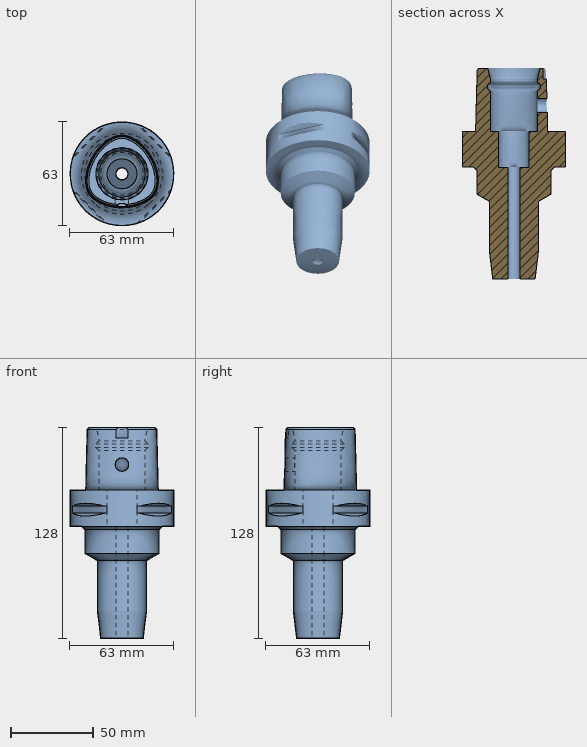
import cadquery as cq
import math

total_height = 128.0
flange_top = 90.0
flange_height = 22.0
flange_bottom = flange_top - flange_height
collar_chamfer = 2.0
collar_bottom = 51.6
nose_taper_height = 16.5

flange_diameter = 63.0
collar_diameter = 45.0
shank_diameter = 30.0
nose_diameter = 26.0
neck_cone_angle = 60.0

taper_diameter = 44.2
taper_ratio = 20.0
eccentricity = 1.4
taper_chamfer_height = 1.3
taper_chamfer_width = 1.0
profile_points = 36

bore_mouth_diameter = 31.5
bore_diameter = 28.0
bore_cone_depth = 6.7
bore_depth = total_height - flange_top
recess_diameter = 18.2
recess_depth = total_height - flange_bottom
through_diameter = 7.2
ring_groove_top = 8.2
ring_groove_height = 5.8
ring_groove_depth = 1.9

slot_width = 7.3
slot_back_offset = 17.9
slot_corner_offset = 19.6
slot_depth = 6.3
side_hole_diameter = 8.2
side_hole_drop = 22.5
side_hole_bottom = 14.3

gripper_count = 4
gripper_spacing = 360 / gripper_count
gripper_drop = 11.9
gripper_floor_offset = 27.8
gripper_floor_height = 4.2
gripper_mouth_height = 7.8
gripper_ledge = 0.6


def revolve_profile(points):
    """Turn a (radius, height) outline about Z, starting on the -Y side."""
    outline = [(-radius, height) for radius, height in points]
    return cq.Workplane("YZ").polyline(outline).close().revolve(360, (0, 0), (0, 1))


def lobed_wire(mean_radius, height):
    """Closed three-lobed curve with one lobe toward +Y and a flat toward -Y."""
    points = []
    for index in range(profile_points):
        angle = 2 * math.pi * index / profile_points
        along = (
            mean_radius * math.cos(angle)
            - 2 * eccentricity * math.cos(2 * angle)
            + eccentricity * math.cos(4 * angle)
        )
        across = (
            mean_radius * math.sin(angle)
            + 2 * eccentricity * math.sin(2 * angle)
            + eccentricity * math.sin(4 * angle)
        )
        points.append(cq.Vector(across, -along, height))
    return cq.Wire.assembleEdges([cq.Edge.makeSpline(points, periodic=True)])


def make_body():
    """Flange, collar, shank and tapered nose."""
    collar_radius = collar_diameter / 2
    shank_radius = shank_diameter / 2
    neck_drop = (collar_radius - shank_radius) / math.tan(math.radians(neck_cone_angle))
    return revolve_profile(
        [
            (0, 0),
            (nose_diameter / 2, 0),
            (shank_radius, nose_taper_height),
            (shank_radius, collar_bottom - neck_drop),
            (collar_radius, collar_bottom),
            (collar_radius, flange_bottom - collar_chamfer),
            (collar_radius + collar_chamfer, flange_bottom),
            (flange_diameter / 2, flange_bottom),
            (flange_diameter / 2, flange_top),
            (0, flange_top),
        ]
    )


def make_taper():
    """Three-lobed taper with a bevelled rim."""
    base_radius = taper_diameter / 2
    shoulder_height = total_height - taper_chamfer_height
    shoulder_radius = base_radius - (shoulder_height - flange_top) / taper_ratio / 2
    base = lobed_wire(base_radius, flange_top)
    shoulder = lobed_wire(shoulder_radius, shoulder_height)
    rim = lobed_wire(shoulder_radius - taper_chamfer_width, total_height)
    cone = cq.Solid.makeLoft([base, shoulder], True)
    bevel = cq.Solid.makeLoft([shoulder, rim], True)
    return cq.Workplane(cone).union(cq.Workplane(bevel))


def make_bore():
    """Conical mouth, bore with an internal ring groove, recess and through hole."""
    bore_radius = bore_diameter / 2
    groove_radius = bore_radius + ring_groove_depth
    groove_bottom = ring_groove_top + ring_groove_height
    steps = [
        (0, 0),
        (bore_mouth_diameter / 2, 0),
        (bore_radius, bore_cone_depth),
        (bore_radius, ring_groove_top),
        (groove_radius, ring_groove_top + ring_groove_depth),
        (groove_radius, groove_bottom - ring_groove_depth),
        (bore_radius, groove_bottom),
        (bore_radius, bore_depth),
        (recess_diameter / 2, bore_depth),
        (recess_diameter / 2, recess_depth),
        (through_diameter / 2, recess_depth),
        (through_diameter / 2, total_height),
        (0, total_height),
    ]
    return revolve_profile([(radius, total_height - depth) for radius, depth in steps])


def make_rim_slot():
    """Vertical slot with a rounded back, breaking out of the rim on the -Y side."""
    half_width = slot_width / 2
    opening = -taper_diameter / 2
    return (
        cq.Workplane("XY", origin=(0, 0, total_height - slot_depth))
        .moveTo(-half_width, opening)
        .lineTo(-half_width, -slot_corner_offset)
        .threePointArc((0, -slot_back_offset), (half_width, -slot_corner_offset))
        .lineTo(half_width, opening)
        .close()
        .extrude(slot_depth)
    )


def make_side_hole():
    """Blind flat-bottomed hole entering from -Y."""
    return (
        cq.Workplane("XZ", origin=(0, -side_hole_bottom, total_height - side_hole_drop))
        .circle(side_hole_diameter / 2)
        .extrude(taper_diameter / 2 - side_hole_bottom)
    )


def make_gripper_groove(angle):
    """Straight groove with sloping sides and a square-sided bottom, facing the given angle."""
    middle = flange_top - gripper_drop
    half_floor = gripper_floor_height / 2
    half_mouth = gripper_mouth_height / 2
    flange_radius = flange_diameter / 2
    slope_start = gripper_floor_offset + gripper_ledge
    return (
        cq.Workplane("XZ")
        .moveTo(gripper_floor_offset, middle - half_floor)
        .lineTo(slope_start, middle - half_floor)
        .lineTo(flange_radius, middle - half_mouth)
        .lineTo(flange_radius, middle + half_mouth)
        .lineTo(slope_start, middle + half_floor)
        .lineTo(gripper_floor_offset, middle + half_floor)
        .close()
        .extrude(flange_radius, both=True)
        .rotate((0, 0, 0), (0, 0, 1), angle)
    )


result = make_body().union(make_taper()).cut(make_bore())
result = result.cut(make_rim_slot()).cut(make_side_hole())
for index in range(gripper_count):
    result = result.cut(make_gripper_groove((index + 0.5) * gripper_spacing))